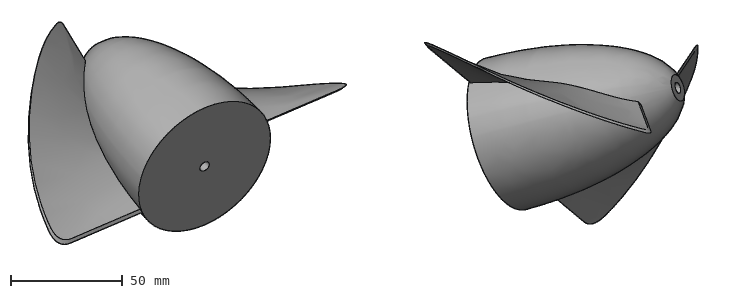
import cadquery as cq
import math

hub_length = 88.7
hub_radius = 70.3 / 2
nose_radius = 6.1
bore_diameter = 5.0

trailing_edge_z = -11.6
blade_rulings = [
    ((11.9, -15.0, 11.0), (2.5, -22.0, 31.2)),
    ((20.4, -20.4, 8.5), (10.2, -34.8, 31.2)),
    ((33.7, -27.4, 3.8), (23.5, -49.2, 27.3)),
    ((54.2, -32.7, -3.0), (46.2, -66.7, 16.5)),
    ((71.3, -33.8, -7.5), (67.4, -76.1, 3.0)),
    ((hub_length, -33.2, trailing_edge_z), (hub_length, -78.3, trailing_edge_z)),
]
ruling_places = [0.0, 0.12, 0.28, 0.53, 0.77, 1.0]
root_overlap = 0.3
tip_allowance = 0.1
blade_thickness_vector = cq.Vector(-1.0, 1.3, 1.5)
leading_corner_radius = 11.0
trailing_corner_radius = 16.0
outline_reach = 156.7
blade_count = 2


def make_hub():
    kept_share = math.sqrt(1 - (nose_radius / hub_radius) ** 2)
    ellipse_length = hub_length / kept_share
    nose_angle = 180 - math.degrees(math.asin(nose_radius / hub_radius))
    profile = (
        cq.Workplane("XY")
        .moveTo(hub_length, 0)
        .lineTo(hub_length, hub_radius)
        .ellipseArc(ellipse_length, hub_radius, 90, nose_angle, startAtCurrent=True)
        .lineTo(0, 0)
        .close()
    )
    return profile.revolve(360, (0, 0, 0), (1, 0, 0))


def make_blade_outline(root_points, tip_points):
    """Return a prism along the thickness direction that has the blade's rounded outline."""
    plane = cq.Plane(origin=(0, 0, 0), normal=blade_thickness_vector.toTuple())
    roots = [plane.toLocalCoords(point) for point in root_points]
    tips = [plane.toLocalCoords(point) for point in tip_points]
    outline = (
        cq.Workplane(plane)
        .workplane(offset=-outline_reach)
        .moveTo(tips[0].x, tips[0].y)
        .spline([(tip.x, tip.y) for tip in tips], parameters=ruling_places)
        .lineTo(roots[-1].x, roots[-1].y)
        .lineTo(roots[0].x, roots[0].y)
        .close()
        .extrude(2 * outline_reach)
    )
    for tip, radius in ((tips[0], leading_corner_radius), (tips[-1], trailing_corner_radius)):
        corner = plane.toWorldCoords((tip.x, tip.y))
        outline = outline.edges(cq.NearestToPointSelector(corner.toTuple())).fillet(radius)
    return outline


def make_blade():
    roots = [cq.Vector(*root) for root, tip in blade_rulings]
    tips = [cq.Vector(*tip) for root, tip in blade_rulings]
    buried_roots = [root - (tip - root) * root_overlap for root, tip in zip(roots, tips)]
    untrimmed_tips = [tip + (tip - root) * tip_allowance for root, tip in zip(roots, tips)]

    root_edge = cq.Edge.makeSpline(buried_roots, parameters=ruling_places)
    tip_edge = cq.Edge.makeSpline(untrimmed_tips, parameters=ruling_places)
    lower_face = cq.Face.makeRuledSurface(root_edge, tip_edge)
    sheet = cq.Workplane(cq.Solid.extrudeLinear(lower_face, blade_thickness_vector))
    return sheet.intersect(make_blade_outline(buried_roots, tips))


blade = make_blade()
result = make_hub()
for index in range(blade_count):
    result = result.union(blade.rotate((0, 0, 0), (1, 0, 0), index * 360 / blade_count))

bore = cq.Workplane("YZ").circle(bore_diameter / 2).extrude(hub_length)
result = result.cut(bore)